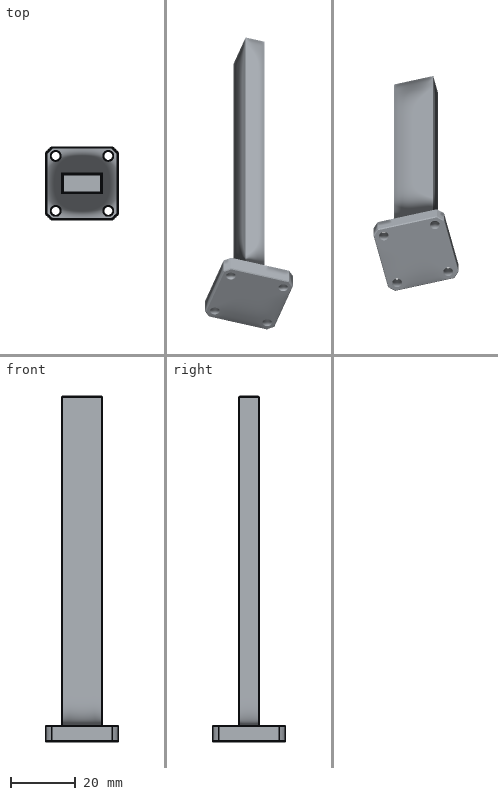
import cadquery as cq

flange_side = 22.4
flange_thickness = 5.0
flange_corner_chamfer = 1.8
flange_edge_chamfer = 0.27

total_height = 106.7
bar_width = 12.5
bar_depth = 6.2
bar_edge_chamfer = 0.4

hole_diameter = 3.0
hole_spacing_x = 16.2
hole_spacing_y = 17.0


def make_flange():
    """Square plate with cut corners, bevelled rims and four through holes."""
    plate = (
        cq.Workplane("XY")
        .rect(flange_side, flange_side)
        .extrude(flange_thickness)
        .edges("|Z")
        .chamfer(flange_corner_chamfer)
    )
    plate = plate.faces("<Z or >Z").edges().chamfer(flange_edge_chamfer)
    return (
        plate.faces(">Z")
        .workplane(origin=(0, 0, flange_thickness))
        .rect(hole_spacing_x, hole_spacing_y, forConstruction=True)
        .vertices()
        .hole(hole_diameter)
    )


def make_bar():
    """Upright bar with a bevelled top rim."""
    bar = cq.Workplane("XY").rect(bar_width, bar_depth).extrude(total_height)
    return bar.faces(">Z").edges().chamfer(bar_edge_chamfer)


result = make_flange().union(make_bar())